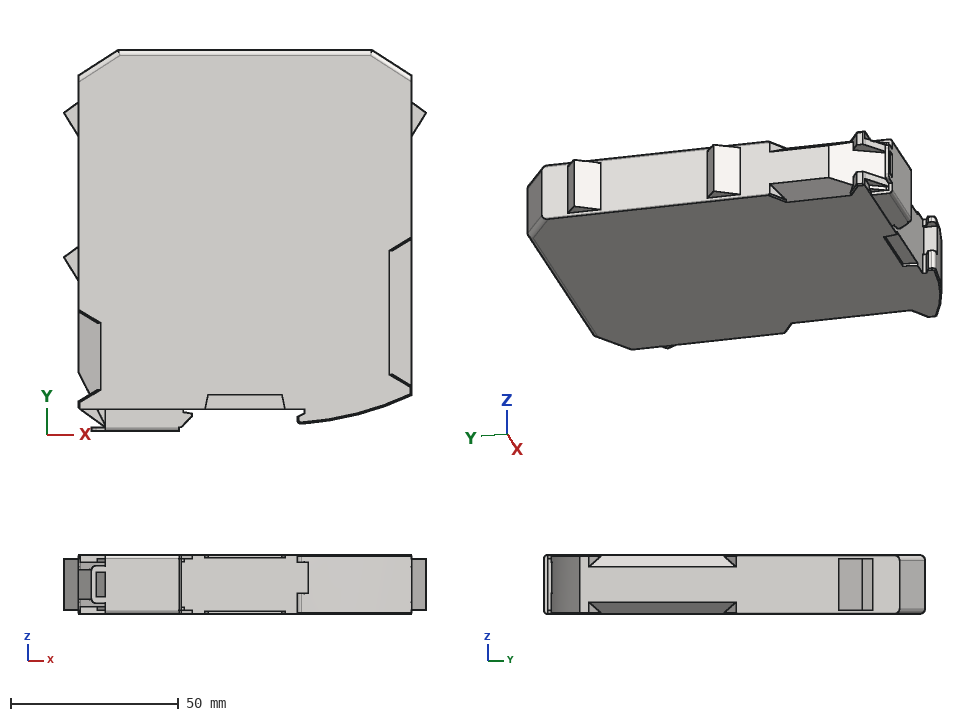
import cadquery as cq

thickness = 17.6
half_thick = thickness / 2
half_width = 49.6
back_y = 56.8
front_y = -50.3

corner_x = 37.8
corner_y = 49.2
back_radius = 1.6

rim_bevel = 0.5
side_bevel = 0.1

notch_x = 43.0
notch_rise = 4.0
left_notch_top = -21.1
left_notch_bottom = -47.9
right_notch_top = 0.5
right_notch_bottom = -43.4
core_half_thick = 5.2

slant_start_y = -39.3
slant_end_y = -55.0
slot_half = 4.4
prong_outer_half = 6.6
corner_cut = 0.6

hook_x = 15.6
hook_root_x = 17.7
hook_root_y = -51.5
hook_neck_y = -52.6
hook_tip_y = -54.6
hook_tip_radius = 1.1
curve_mid = (34.9, -51.6)
curve_end_y = -46.1
hook_gap_x = 18.9
hook_gap_bottom = -2.6
hook_gap_top = 6.7

recess_half_front = 11.9
recess_half_back = 11.0
recess_back_y = -46.0
recess_depth = 0.8

width_over_tabs = 108.0
tab_reach_x = width_over_tabs / 2
tab_half = 7.6
tab_height = 10.2
tab_tip_drop = 3.2
upper_tab_y = 41.2
lower_tab_y = -1.8

latch_x = -41.7
tongue_end_x = -19.0
tongue_half = 7.7
face_end_x = -19.7
latch_front_y = -56.8
latch_face_thick = 1.1
latch_inner_y = latch_front_y + latch_face_thick
latch_radius = 1.0
latch_nose_x = -15.8
nose_root_x = -18.4
nose_root_y = -51.1
nose_tip_back_y = -51.6
nose_tip_front_y = -52.4
lug_size = 0.9
pull_x = -45.8
pull_half = 5.6
pull_radius = 1.4
pull_slot_x = -44.3
pull_slot_half = 3.6


def prism(points, bottom, top):
    """Straight prism over an XY outline, between two Z levels."""
    return cq.Workplane("XY").workplane(offset=bottom).polyline(points).close().extrude(top - bottom)


def mirrored_pair(points, inner, outer):
    """The same prism above and below the mid plane."""
    upper = prism(points, inner, outer)
    return upper.union(upper.mirror("XY"))


def box_between(left_x, right_x, half):
    """Box within the latch face thickness, centred on the mid plane."""
    points = [
        (left_x, latch_inner_y),
        (right_x, latch_inner_y),
        (right_x, latch_front_y),
        (left_x, latch_front_y),
    ]
    return prism(points, -half, half)


def midpoint(start, end):
    return ((start[0] + end[0]) / 2, (start[1] + end[1]) / 2)


def rim_edges(body, places):
    """Top and bottom rim edges whose centres lie nearest to the given XY places."""
    found = cq.Workplane(body.val())
    edges = []
    for x, y in places:
        for z in (half_thick, -half_thick):
            edges += found.edges(cq.NearestToPointSelector((x, y, z))).vals()
    return body.newObject(edges)


def make_plate():
    """Full-thickness plate with the two side notches and the curved hook."""
    left_notch = [
        (-half_width, left_notch_top),
        (-notch_x, left_notch_top - notch_rise),
        (-notch_x, left_notch_bottom + notch_rise),
        (-half_width, left_notch_bottom),
    ]
    right_notch = [
        (half_width, right_notch_bottom),
        (notch_x, right_notch_bottom + notch_rise),
        (notch_x, right_notch_top - notch_rise),
        (half_width, right_notch_top),
    ]
    left_corner = (-half_width, corner_y)
    right_corner = (half_width, corner_y)
    left_back = (-corner_x, back_y)
    right_back = (corner_x, back_y)
    flange_tip = (-half_width, front_y + corner_cut)
    curve_end = (half_width, curve_end_y)

    outline = (
        cq.Workplane("XY")
        .workplane(offset=-half_thick)
        .moveTo(*left_back)
        .lineTo(*left_corner)
    )
    for point in left_notch:
        outline = outline.lineTo(*point)
    outline = (
        outline.lineTo(*flange_tip)
        .lineTo(-half_width + corner_cut, front_y)
        .lineTo(hook_root_x, front_y)
        .lineTo(hook_root_x, hook_root_y)
        .lineTo(hook_x, hook_neck_y)
        .lineTo(hook_x, hook_tip_y + hook_tip_radius)
        .radiusArc((hook_x + hook_tip_radius, hook_tip_y), -hook_tip_radius)
        .threePointArc(curve_mid, curve_end)
    )
    for point in right_notch:
        outline = outline.lineTo(*point)
    plate = outline.lineTo(*right_corner).lineTo(*right_back).close().extrude(thickness)

    bevelled = [
        midpoint(left_notch[0], left_notch[1]),
        midpoint(left_notch[2], left_notch[3]),
        midpoint(left_notch[3], flange_tip),
        midpoint(right_notch[0], right_notch[1]),
        midpoint(right_notch[2], right_notch[3]),
        midpoint(right_notch[0], curve_end),
        curve_mid,
    ]
    plate = rim_edges(plate, bevelled).chamfer(rim_bevel)
    rounded = [
        midpoint(left_corner, left_back),
        midpoint(left_back, right_back),
        midpoint(right_back, right_corner),
    ]
    return rim_edges(plate, rounded).fillet(back_radius)


def bevel_sides(plate):
    """Shave the long top and bottom edges of both sides with a steep bevel."""
    for side, end_y in ((-1, left_notch_top), (1, right_notch_top)):
        for face in (-1, 1):
            shaving = (
                cq.Workplane("XZ", origin=(0, corner_y, 0))
                .moveTo(side * half_width, face * (half_thick - rim_bevel))
                .lineTo(side * half_width, face * half_thick)
                .lineTo(side * (half_width - side_bevel), face * half_thick)
                .close()
                .extrude(corner_y - end_y)
            )
            plate = plate.cut(shaving)
    return plate


def make_core(side, top_y, bottom_y):
    """Notch filling whose top and bottom slope towards the outer side."""
    return (
        cq.Workplane("XZ", origin=(0, top_y, 0))
        .polyline([
            (side * notch_x, half_thick),
            (side * half_width, core_half_thick),
            (side * half_width, -core_half_thick),
            (side * notch_x, -half_thick),
        ])
        .close()
        .extrude(top_y - bottom_y)
    )


def make_tab(side, top_y):
    """Wedge-shaped tab standing out of one side."""
    points = [
        (side * half_width, top_y),
        (side * tab_reach_x, top_y - tab_tip_drop),
        (side * half_width, top_y - tab_height),
    ]
    return prism(points, -tab_half, tab_half)


def make_housing():
    body = bevel_sides(make_plate())

    slant_start = (-half_width, slant_start_y)
    slant_end = (latch_x, slant_end_y)
    slant_share = (front_y - slant_start_y) / (slant_end_y - slant_start_y)
    slant_front = (-half_width + slant_share * (latch_x + half_width), front_y)
    outside_slant = [slant_start, slant_front, (-half_width, front_y)]
    left_core = make_core(-1, left_notch_top, left_notch_bottom)
    left_core = left_core.cut(prism(outside_slant, -half_thick, half_thick))
    right_core = make_core(1, right_notch_top, right_notch_bottom)
    body = body.cut(prism(outside_slant, -slot_half, slot_half))
    body = body.union(left_core).union(right_core)

    tongue_corner = (latch_x, latch_inner_y)
    tongue = [
        slant_front,
        slant_end,
        tongue_corner,
        (tongue_end_x, latch_inner_y),
        (tongue_end_x, front_y),
    ]
    body = body.union(prism(tongue, -tongue_half, tongue_half))
    prong = [(-half_width + corner_cut, front_y), tongue_corner, (latch_x, front_y)]
    body = body.union(mirrored_pair(prong, slot_half, prong_outer_half))

    gap = [
        (hook_x, front_y),
        (hook_gap_x, front_y),
        (hook_gap_x, latch_front_y),
        (hook_x, latch_front_y),
    ]
    body = body.cut(prism(gap, hook_gap_bottom, hook_gap_top))

    recess = [
        (-recess_half_front, front_y),
        (recess_half_front, front_y),
        (recess_half_back, recess_back_y),
        (-recess_half_back, recess_back_y),
    ]
    body = body.cut(mirrored_pair(recess, half_thick - recess_depth, half_thick))

    for side, top_y in ((-1, upper_tab_y), (-1, lower_tab_y), (1, upper_tab_y)):
        body = body.union(make_tab(side, top_y))
    return body


def make_pull():
    """Slotted finger pull standing out of the left end of the latch face."""
    plate = box_between(pull_x, latch_x, pull_half)
    plate = plate.faces("<X").edges("|Y").fillet(pull_radius)
    return plate.cut(box_between(pull_slot_x, latch_x, pull_slot_half))


def make_latch():
    """Foot latch: a channel around the tongue, with pointed side walls and a finger pull."""
    wall = [
        (latch_x, front_y),
        (latch_x, latch_inner_y),
        (tongue_end_x, latch_inner_y),
        (latch_nose_x, nose_tip_front_y),
        (latch_nose_x, nose_tip_back_y),
        (nose_root_x, nose_root_y),
        (nose_root_x, front_y),
    ]
    face = box_between(latch_x, face_end_x, half_thick)
    face = face.faces("<Y").edges("|X").fillet(latch_radius)
    body = face.union(mirrored_pair(wall, tongue_half, half_thick))

    lug_end_x = tongue_end_x + lug_size
    lug = [
        (tongue_end_x, nose_root_y),
        (lug_end_x, nose_root_y),
        (lug_end_x, nose_tip_front_y),
        (tongue_end_x, nose_tip_front_y),
    ]
    body = body.union(mirrored_pair(lug, tongue_half - lug_size, tongue_half))
    return body.union(make_pull())


housing = make_housing()
latch = make_latch()
result = cq.Compound.makeCompound([housing.solids().val(), latch.solids().val()])